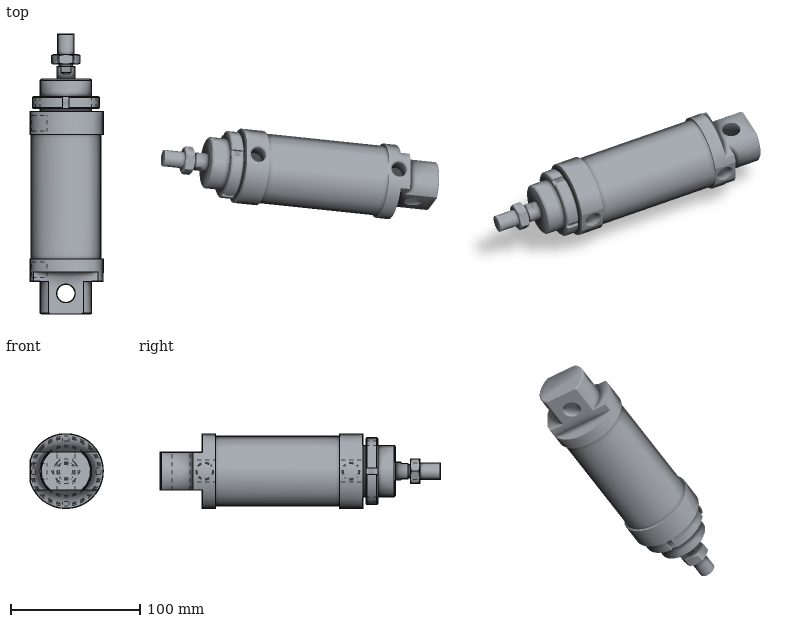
import cadquery as cq
import math


eye_end = 0.0
rear_cap_back = 25.4
rear_step = 32.5
rear_cap_front = 42.7
head_back = 139.0
head_front = 157.0
ring_back = 159.3
ring_front = 168.6
neck_front = 182.3
rod_shoulder = 191.8
hex_back = 193.8
hex_front = 201.2
rod_tip = 217.0

cap_diameter = 58.0
tube_diameter = 54.2
neck_diameter = 40.0
neck_chamfer = 1.0
cap_width = 56.6
port_face_x = cap_diameter / 2 - cap_width
eye_thickness = 29.5
eye_chamfer = 0.9
eye_hole_diameter = 14.0
eye_hole_y = 16.0

port_diameter = 12.0
port_depth = 13.0
port_chamfer = 0.9
front_port_y = 147.8
rear_port_y = 34.5

rod_diameter = 14.0
thread_diameter = 12.8
undercut_diameter = 10.5
wrench_flats = 12.0
wrench_flats_back = 187.0

hex_sides = 6
hex_across_flats = 19.0
hex_chamfer_angle = 30.0
ring_diameter = 52.0
ring_chamfer = 0.9
ring_slot_width = 5.0
ring_slot_depth = 2.5
ring_slot_count = 4


def cylinder_y(diameter, back, front):
    """Round bar along the Y axis from back to front."""
    return cq.Workplane("XZ", origin=(0, back, 0)).circle(diameter / 2).extrude(back - front)


def box_between(x_range, y_range, z_range):
    """Axis-aligned box given by its limits on each axis."""
    limits = (x_range, y_range, z_range)
    sizes = [high - low for low, high in limits]
    corner = tuple(low for low, high in limits)
    return cq.Workplane("XY").box(*sizes, centered=False).translate(corner)


def make_port(y):
    """Blind, countersunk air port entering the flat on the -X side."""
    radius = port_diameter / 2
    mouth_radius = radius + port_chamfer
    profile = [
        (port_face_x, y),
        (port_face_x, y + mouth_radius),
        (port_face_x + port_chamfer, y + radius),
        (port_face_x + port_depth, y + radius),
        (port_face_x + port_depth, y),
    ]
    return cq.Workplane("XY").polyline(profile).close().revolve(360, (0, y, 0), (1, y, 0))


def make_body():
    """Head, tube, rear cap and rear eye as one solid."""
    reach = cap_diameter

    head = cylinder_y(cap_diameter, head_back, head_front)
    rear_cap = cylinder_y(cap_diameter, rear_cap_back, rear_cap_front)
    port_side_waste = box_between((-reach, port_face_x), (rear_cap_back, head_front), (-reach, reach))
    caps = head.union(rear_cap).cut(port_side_waste)

    tube = cylinder_y(tube_diameter, rear_cap_front, head_back)
    neck = cylinder_y(neck_diameter, head_front, neck_front).faces(">Y").chamfer(neck_chamfer)
    eye = cylinder_y(neck_diameter, eye_end, rear_cap_back).faces("<Y").chamfer(eye_chamfer)
    body = caps.union(tube).union(neck).union(eye)

    for low, high in ((eye_thickness / 2, reach), (-reach, -eye_thickness / 2)):
        body = body.cut(box_between((-reach, reach), (eye_end, rear_step), (low, high)))

    eye_hole = cq.Workplane("XY").center(0, eye_hole_y).circle(eye_hole_diameter / 2)
    body = body.cut(eye_hole.extrude(eye_thickness / 2, both=True))

    for port_y in (front_port_y, rear_port_y):
        body = body.cut(make_port(port_y))
    return body


def make_piston_rod():
    """Rod with two wrench flats, an undercut and a threaded end modelled plain."""
    shank = cylinder_y(rod_diameter, neck_front, rod_shoulder)

    half_flats = wrench_flats / 2
    rise = rod_diameter - half_flats
    for side in (1, -1):
        waste = (
            cq.Workplane("YZ")
            .polyline([
                (rod_shoulder, side * half_flats),
                (wrench_flats_back, side * half_flats),
                (wrench_flats_back - rise, side * rod_diameter),
                (rod_shoulder, side * rod_diameter),
            ])
            .close()
            .extrude(rod_diameter, both=True)
        )
        shank = shank.cut(waste)

    undercut = cylinder_y(undercut_diameter, rod_shoulder, hex_back)
    thread = cylinder_y(thread_diameter, hex_back, rod_tip)
    return shank.union(undercut).union(thread)


def make_hex_nut():
    """Hexagonal lock nut with corners on +-X and conical chamfers on both faces."""
    across_corners = hex_across_flats / math.cos(math.pi / hex_sides)
    corner_radius = across_corners / 2
    face_radius = hex_across_flats / 2
    chamfer_height = (corner_radius - face_radius) * math.tan(math.radians(hex_chamfer_angle))

    envelope = (
        cq.Workplane("XY")
        .polyline([
            (0, hex_back),
            (face_radius, hex_back),
            (corner_radius, hex_back + chamfer_height),
            (corner_radius, hex_front - chamfer_height),
            (face_radius, hex_front),
            (0, hex_front),
        ])
        .close()
        .revolve(360, (0, 0, 0), (0, 1, 0))
    )
    hexagon = cq.Workplane("XZ", origin=(0, hex_back, 0)).polygon(hex_sides, across_corners)
    blank = hexagon.extrude(hex_back - hex_front)
    return blank.intersect(envelope).cut(cylinder_y(thread_diameter, hex_back, hex_front))


def make_ring_nut():
    """Round mounting nut on the neck with spanner slots around its rim."""
    ring = cylinder_y(ring_diameter, ring_back, ring_front).faces("<Y or >Y").chamfer(ring_chamfer)
    ring = ring.cut(cylinder_y(neck_diameter, ring_back, ring_front))
    slot = box_between(
        (ring_diameter / 2 - ring_slot_depth, ring_diameter),
        (ring_back, ring_front),
        (-ring_slot_width / 2, ring_slot_width / 2),
    )
    for index in range(ring_slot_count):
        angle = index * 360 / ring_slot_count
        ring = ring.cut(slot.rotate((0, 0, 0), (0, 1, 0), angle))
    return ring


body = make_body()
piston_rod = make_piston_rod()
hex_nut = make_hex_nut()
ring_nut = make_ring_nut()

result = cq.Compound.makeCompound([body.val(), piston_rod.val(), hex_nut.val(), ring_nut.val()])